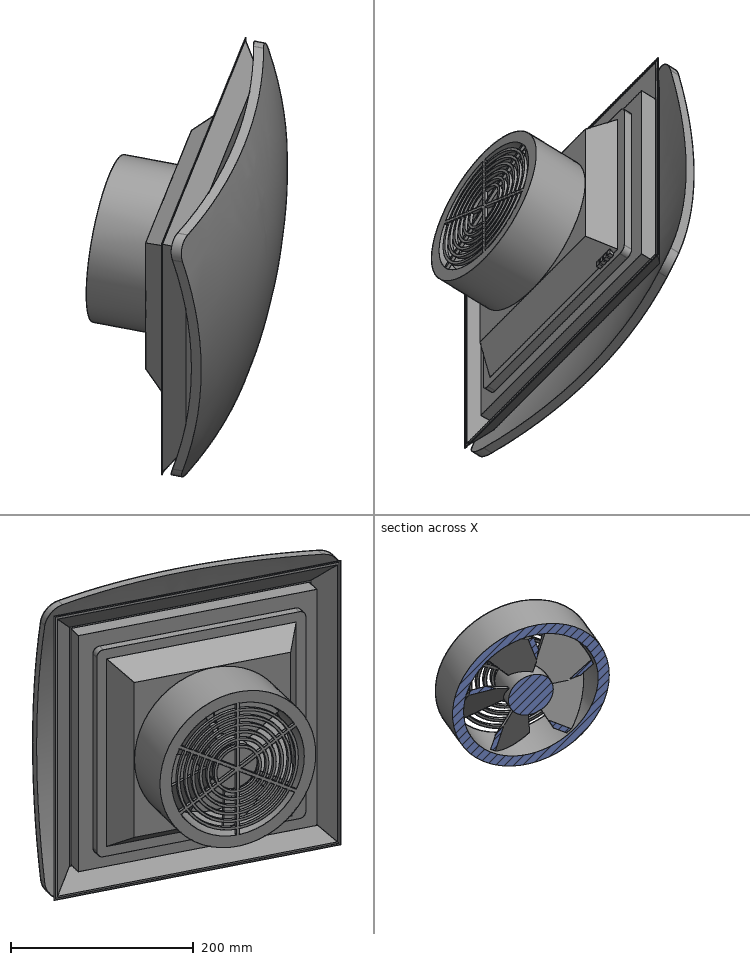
import cadquery as cq
import math


DUCT_RADIUS = 93.5
BORE_RADIUS = 79.5
DUCT_END_X = 67.5
HOOD_TOP_HALF = 93.8
HOOD_BASE_HALF = 113.5
HOOD_END_X = 97.0

GRILLE_THICKNESS = 4.0
RING_COUNT = 6
FIRST_RING_RADIUS = 25.0
RING_WIDTH = 3.2
RING_PITCH = 9.0
BAR_WIDTH = 4.0
BAR_COUNT = 3

BLADE_COUNT = 5
HUB_RADIUS = 27.0
HUB_START_X = 9.0
BLADE_TIP_RADIUS = 77.0
BLADE_HALF_ANGLE = 27.0
BLADE_TILT = 30.0
BLADE_THICKNESS = 3.5
BLADE_MID_X = DUCT_END_X / 2

TERMINAL_COUNT = 4
TERMINAL_WIDTH = 4.5
TERMINAL_PITCH = 6.5
TERMINAL_START_X = 91.7
TERMINAL_MID_Y = -94.5
TERMINAL_TOP_Z = -109.7
TERMINAL_BOTTOM_Z = -117.5

PLATE_HALF = 125.3
PLATE_CORNER_RADIUS = 7.8
BOX_HALF = 143.0
BOX_START_X = 107.3

LIP_HALF = 172.0
LIP_THICKNESS = 0.7
FLOOR_THICKNESS = 1.5
FLARE_MOUTH_HALF = 167.8
FLARE_FLOOR_HALF = 144.8
FRAME_WALL = 3.2
FRAME_END_X = 128.5

COVER_SIDE = 354.0
COVER_CORNER_RADIUS = 21.2
COVER_APEX_X = 180.0
DOME_SAG = 26.2
COVER_THICKNESS = 10.5
SPACER_HALF = 61.5


def square_block(half, start_x, end_x):
    """Square prism centred on the fan axis."""
    return cq.Workplane("YZ", origin=(start_x, 0, 0)).rect(2 * half, 2 * half).extrude(end_x - start_x)


def square_taper(start_half, end_half, start_x, end_x):
    """Frustum of a square pyramid centred on the fan axis."""
    return (
        cq.Workplane("YZ", origin=(start_x, 0, 0))
        .rect(2 * start_half, 2 * start_half)
        .workplane(offset=end_x - start_x)
        .rect(2 * end_half, 2 * end_half)
        .loft(ruled=True)
    )


def disc(radius, start_x, end_x):
    return cq.Workplane("YZ", origin=(start_x, 0, 0)).circle(radius).extrude(end_x - start_x)


def ball(center_x, radius):
    """Sphere centred on the fan axis, with its poles on that axis."""
    return (
        cq.Workplane("XZ")
        .moveTo(center_x - radius, 0)
        .threePointArc((center_x, radius), (center_x + radius, 0))
        .close()
        .revolve(360, (0, 0, 0), (1, 0, 0))
    )


def make_hood():
    duct = disc(DUCT_RADIUS, 0, DUCT_END_X)
    hood = square_taper(HOOD_TOP_HALF, HOOD_BASE_HALF, DUCT_END_X, HOOD_END_X)
    return duct.union(hood).cut(disc(BORE_RADIUS, 0, DUCT_END_X))


def make_grille():
    grille = cq.Workplane("YZ")
    for index in range(RING_COUNT):
        inner_radius = FIRST_RING_RADIUS + index * RING_PITCH
        ring = disc(inner_radius + RING_WIDTH, 0, GRILLE_THICKNESS)
        grille = grille.add(ring.cut(disc(inner_radius, 0, GRILLE_THICKNESS)))
    bar_length = BORE_RADIUS + DUCT_RADIUS
    bar = cq.Workplane("YZ").rect(BAR_WIDTH, bar_length).extrude(GRILLE_THICKNESS)
    for index in range(BAR_COUNT):
        grille = grille.add(bar.rotate((0, 0, 0), (1, 0, 0), index * 180 / BAR_COUNT))
    return grille.combine()


def make_fan():
    """Hub standing on the bore floor, with flat tilted blades around it."""
    angle = math.radians(BLADE_HALF_ANGLE)
    tip_y = -BLADE_TIP_RADIUS * math.cos(angle)
    tip_z = BLADE_TIP_RADIUS * math.sin(angle)
    sector = (
        cq.Workplane("YZ")
        .lineTo(tip_y, tip_z)
        .threePointArc((-BLADE_TIP_RADIUS, 0), (tip_y, -tip_z))
        .close()
        .extrude(DUCT_END_X)
    )
    slab = (
        cq.Workplane("XY")
        .box(BLADE_THICKNESS, 2 * BLADE_TIP_RADIUS, 2 * BLADE_TIP_RADIUS)
        .rotate((0, 0, 0), (0, 1, 0), BLADE_TILT)
        .translate((BLADE_MID_X, 0, 0))
    )
    blade = sector.intersect(slab)
    fan = disc(HUB_RADIUS, HUB_START_X, DUCT_END_X)
    for index in range(BLADE_COUNT):
        fan = fan.union(blade.rotate((0, 0, 0), (1, 0, 0), index * 360 / BLADE_COUNT))
    return fan


def make_terminals():
    length = HOOD_END_X - TERMINAL_START_X
    height = TERMINAL_TOP_Z - TERMINAL_BOTTOM_Z
    middle_x = TERMINAL_START_X + length / 2
    middle_z = TERMINAL_BOTTOM_Z + height / 2
    return (
        cq.Workplane("XY", origin=(middle_x, TERMINAL_MID_Y, middle_z))
        .rarray(3.5, TERMINAL_PITCH, 1, TERMINAL_COUNT)
        .box(length, TERMINAL_WIDTH, height)
    )


def make_plate_and_box():
    plate = square_block(PLATE_HALF, HOOD_END_X, BOX_START_X).edges("|X").fillet(PLATE_CORNER_RADIUS)
    return plate.union(square_block(BOX_HALF, BOX_START_X, FRAME_END_X))


def make_frame():
    """Flared tray with a thin lip at its mouth; the box stands on its floor."""
    floor_x = FRAME_END_X - FLOOR_THICKNESS
    lip = square_block(LIP_HALF, BOX_START_X, BOX_START_X + LIP_THICKNESS)
    outside = square_taper(
        FLARE_MOUTH_HALF + FRAME_WALL, FLARE_FLOOR_HALF + FRAME_WALL, BOX_START_X, FRAME_END_X
    )
    inside = square_taper(FLARE_MOUTH_HALF, FLARE_FLOOR_HALF, BOX_START_X, floor_x)
    return lip.union(outside).cut(inside)


def make_cover():
    """Rounded square cut from a spherical shell, carried by a square block behind it."""
    dome_radius = ((COVER_SIDE / 2) ** 2 + DOME_SAG**2) / (2 * DOME_SAG)
    center_x = COVER_APEX_X - dome_radius
    outer_ball = ball(center_x, dome_radius)
    inner_ball = ball(center_x, dome_radius - COVER_THICKNESS)
    blank = square_block(COVER_SIDE / 2, BOX_START_X, COVER_APEX_X)
    blank = blank.edges("|X").fillet(COVER_CORNER_RADIUS)
    shell = blank.intersect(outer_ball).cut(inner_ball)
    spacer = square_block(SPACER_HALF, FRAME_END_X, COVER_APEX_X).intersect(outer_ball)
    return shell.union(spacer)


result = (
    make_hood()
    .union(make_grille())
    .union(make_fan())
    .union(make_terminals())
    .union(make_frame())
    .union(make_plate_and_box())
    .union(make_cover())
)